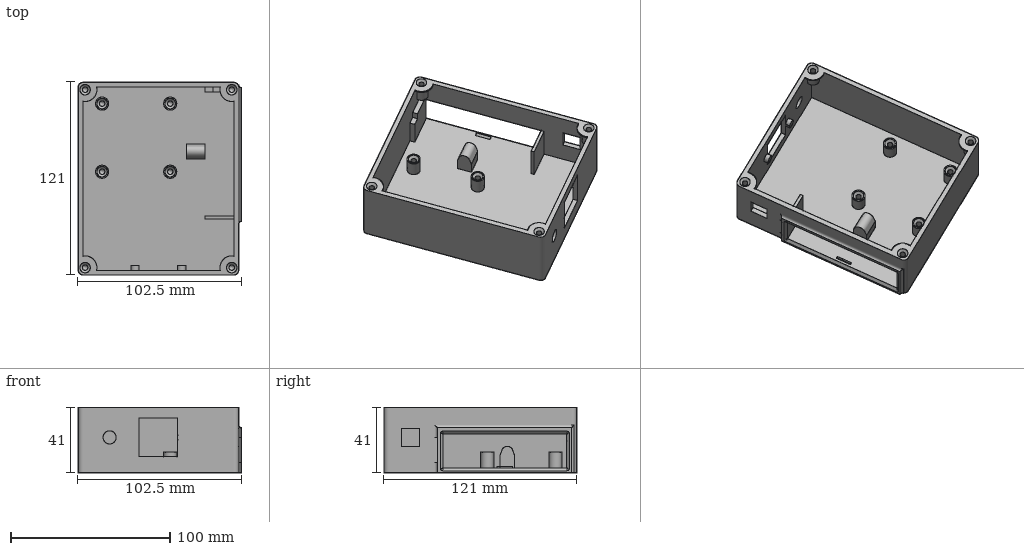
import cadquery as cq

overall_x = 102.5
bezel_depth = 1.7
case_x = overall_x - bezel_depth
case_y = 121.0
case_z = 41.0
corner_radius = 3.3
wall = 3.0
floor_top = 3.0
inner_x = case_x / 2 - wall
inner_y = case_y / 2 - wall

screw_radius = 1.7
countersink_radius = 3.3
countersink_depth = 1.5
screw_depth = 8.5
screw_tip_length = 1.0

boss_x = 46.0
boss_y = 55.8
boss_radius = 4.2
boss_height = 12.0
cap_radius = 7.4
cap_thickness = 1.0

standoff_radius = 4.1
standoff_top = 13.1
standoff_pitch = 42.7
standoff_first_x = -35.3
standoff_first_y = 4.4

socket_side = 24.2
socket_center_z = 22.3
cable_hole_x = -30.6
cable_hole_radius = 4.1
peg_radius = 2.7
peg_length = 2.9
peg_spacing = 29.0

window_y_min = -23.4
window_y_max = 54.2
window_top = 24.5
window_center_y = (window_y_min + window_y_max) / 2

bezel_y_min = -26.9
bezel_y_max = 57.1
bezel_top = 28.3
notch_bottom = 6.5
notch_top = 22.1

ridge_length = 9.7
ridge_width = 1.5
ridge_height = 1.0

switch_side = 11.4
switch_y_max = -38.0

rib_x_min = 29.3
rib_top = 24.5
front_rib_thickness = 2.0
rear_rib_step_x = 34.4
rear_rib_step_z = 19.8

block_x_min = 17.7
block_length = 11.6
block_center_y = 17.0
block_width = 9.3
block_shoulder_z = 10.6
block_crown_width = 6.4
block_crown_z = 14.6
block_top = 16.7


def box(x_range, y_range, z_range):
    """Box between two limits along each axis."""
    size = [high - low for low, high in (x_range, y_range, z_range)]
    corner = (x_range[0], y_range[0], z_range[0])
    return cq.Workplane("XY").box(*size, centered=False).translate(corner)


def cylinder(x, y, z_bottom, z_top, radius):
    """Upright cylinder."""
    return cq.Workplane("XY", origin=(x, y, z_bottom)).circle(radius).extrude(z_top - z_bottom)


def screw_hole(x, y, z_top):
    """Blind countersunk screw hole with a conical bottom, as a solid to cut away."""
    profile = [
        (0, 0),
        (countersink_radius, 0),
        (screw_radius, -countersink_depth),
        (screw_radius, -screw_depth),
        (0, -screw_depth - screw_tip_length),
    ]
    hole = cq.Workplane("XZ").polyline(profile).close().revolve(360, (0, 0, 0), (0, 1, 0))
    return hole.translate((x, y, z_top))


def make_shell():
    """Open box with rounded upright edges."""
    outside = cq.Workplane("XY").box(case_x, case_y, case_z, centered=(True, True, False))
    outside = outside.edges("|Z").fillet(corner_radius)
    return outside.cut(box((-inner_x, inner_x), (-inner_y, inner_y), (floor_top, case_z)))


def add_lid_bosses(housing):
    """Round bosses under the rim, each with a wider cap level with the rim."""
    inside = box((-inner_x, inner_x), (-inner_y, inner_y), (floor_top, case_z))
    places = [(x, y) for x in (-boss_x, boss_x) for y in (-boss_y, boss_y)]
    for x, y in places:
        boss = cylinder(x, y, case_z - boss_height, case_z, boss_radius)
        cap = cylinder(x, y, case_z - cap_thickness, case_z, cap_radius)
        housing = housing.union(boss.union(cap).intersect(inside))
    for x, y in places:
        housing = housing.cut(screw_hole(x, y, case_z))
    return housing


def add_standoffs(housing):
    """Square pattern of four standoffs for a circuit board."""
    for x in (standoff_first_x, standoff_first_x + standoff_pitch):
        for y in (standoff_first_y, standoff_first_y + standoff_pitch):
            housing = housing.union(cylinder(x, y, 0, standoff_top, standoff_radius))
            housing = housing.cut(screw_hole(x, y, standoff_top))
    return housing


def add_front_openings(housing):
    """Square socket opening, round cable hole and the two pegs inside the front wall."""
    outer_plane = cq.Workplane("XZ", origin=(0, -case_y / 2, socket_center_z))
    pegs = outer_plane.pushPoints([(-peg_spacing / 2, 0), (peg_spacing / 2, 0)])
    housing = housing.union(pegs.circle(peg_radius).extrude(-wall - peg_length))
    socket = outer_plane.rect(socket_side, socket_side).extrude(-wall - peg_length)
    cable_hole = outer_plane.center(cable_hole_x, 0).circle(cable_hole_radius).extrude(-wall)
    return housing.cut(socket).cut(cable_hole)


def make_bezel():
    """Raised plate on the +X wall, flared into it by concave fillets at both ends and the top."""
    root = inner_x
    base = case_x / 2
    face = base + bezel_depth
    reach = bezel_depth
    middle = reach * (1 - 0.5 ** 0.5)
    plan = (
        cq.Workplane("XY")
        .moveTo(root, bezel_y_min - reach)
        .lineTo(base, bezel_y_min - reach)
        .threePointArc((base + middle, bezel_y_min - middle), (face, bezel_y_min))
        .lineTo(face, bezel_y_max)
        .threePointArc((base + middle, bezel_y_max + middle), (base, bezel_y_max + reach))
        .lineTo(root, bezel_y_max + reach)
        .close()
        .extrude(case_z)
    )
    side = (
        cq.Workplane("XZ", origin=(0, case_y / 2, 0))
        .moveTo(root, 0)
        .lineTo(face, 0)
        .lineTo(face, bezel_top)
        .threePointArc((base + middle, bezel_top + middle), (base, bezel_top + reach))
        .lineTo(root, bezel_top + reach)
        .close()
        .extrude(case_y)
    )
    notch = box((base, face), (bezel_y_min - reach, bezel_y_min), (notch_bottom, notch_top))
    return plan.intersect(side).cut(notch)


def make_window():
    """Display opening: straight through the wall, then bevelled outwards through the bezel."""
    base = case_x / 2
    straight = box((inner_x, base), (window_y_min, window_y_max), (floor_top, window_top))
    bevel = (
        cq.Workplane("YZ", origin=(base, window_center_y, (floor_top + window_top) / 2))
        .rect(window_y_max - window_y_min, window_top - floor_top)
        .extrude(bezel_depth, taper=-45)
    )
    return straight.union(bevel)


def make_sill_ridge():
    """Wedge-shaped latch ridge, sloping up from the inner face of the wall."""
    profile = [
        (inner_x, floor_top),
        (inner_x + ridge_width, floor_top),
        (inner_x + ridge_width, floor_top + ridge_height),
    ]
    ridge = cq.Workplane("XZ").polyline(profile).close().extrude(ridge_length / 2, both=True)
    return ridge.translate((0, window_center_y, 0))


def make_switch_opening():
    """Square opening level with the front openings."""
    return box(
        (inner_x, case_x / 2),
        (switch_y_max - switch_side, switch_y_max),
        (socket_center_z - switch_side / 2, socket_center_z + switch_side / 2),
    )


def make_display_ribs():
    """Upright rib at each end of the window; the rear one has a stepped top."""
    front = box(
        (rib_x_min, inner_x),
        (window_y_min - front_rib_thickness, window_y_min),
        (floor_top, rib_top),
    )
    rear_low = box((rib_x_min, inner_x), (window_y_max, inner_y), (floor_top, rear_rib_step_z))
    rear_high = box((rear_rib_step_x, inner_x), (window_y_max, inner_y), (floor_top, rib_top))
    return front.union(rear_low).union(rear_high)


def make_housing():
    housing = add_lid_bosses(make_shell())
    housing = add_standoffs(housing)
    housing = add_front_openings(housing)
    housing = housing.union(make_bezel()).cut(make_window())
    housing = housing.union(make_sill_ridge()).cut(make_switch_opening())
    return housing.union(make_display_ribs())


def make_block():
    """Separate block with upright sides, sloping shoulders and a rounded crown."""
    half_width = block_width / 2
    half_crown = block_crown_width / 2
    return (
        cq.Workplane("YZ", origin=(block_x_min, block_center_y, 0))
        .moveTo(-half_width, floor_top)
        .lineTo(-half_width, block_shoulder_z)
        .lineTo(-half_crown, block_crown_z)
        .threePointArc((0, block_top), (half_crown, block_crown_z))
        .lineTo(half_width, block_shoulder_z)
        .lineTo(half_width, floor_top)
        .close()
        .extrude(block_length)
    )


housing = make_housing()
block = make_block()
result = cq.Compound.makeCompound([housing.val(), block.val()])